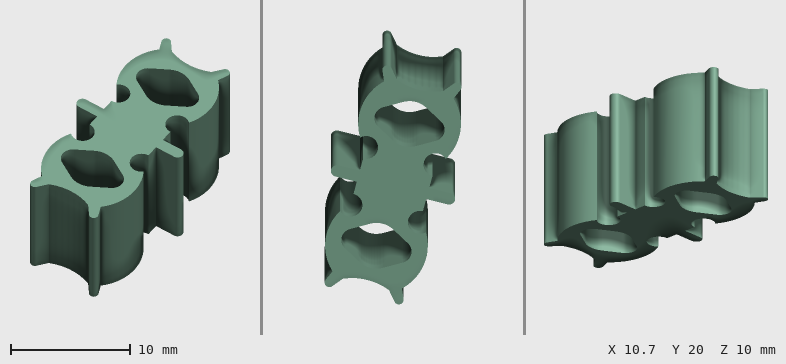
import cadquery as cq
import math

length = 20.0
tab_span = 10.7
height = 10.0

ring_radius = 4.3
ring_y = 5.5

waist_half = 3.0
tab_radius = 0.5

notch_radius = 1.0
notch_x = waist_half
notch_y = 2.6

horn_radius = 0.4
horn_x = waist_half
horn_y = length / 2 - horn_radius
hollow_radius = 5.0
hollow_floor_y = 8.58
hollow_half_width = 2.0

window_large_radius = 2.0
window_small_radius = 1.0
window_small_x = 2.0


def polar(center, radius, angle):
    """Point on a circle at an angle in radians."""
    return (center[0] + radius * math.cos(angle), center[1] + radius * math.sin(angle))


def direction(start, end):
    """Angle of the line from start to end, in radians."""
    return math.atan2(end[1] - start[1], end[0] - start[0])


def circle_crossing(center_a, radius_a, center_b, radius_b, side):
    """Point where two circles cross; side +1 is counter-clockwise from the line a to b."""
    distance = math.dist(center_a, center_b)
    cosine = (radius_a**2 + distance**2 - radius_b**2) / (2 * radius_a * distance)
    return polar(center_a, radius_a, direction(center_a, center_b) + side * math.acos(cosine))


def tangent_angle(point, center, radius, side):
    """Angle on the circle where a line from the outside point touches it."""
    return direction(center, point) + side * math.acos(radius / math.dist(point, center))


def quarter_body():
    """The +X, +Y quarter of the body, without the window."""
    ring_center = (0, ring_y)
    notch_center = (notch_x, notch_y)
    horn_center = (horn_x, horn_y)
    hollow_center_y = hollow_floor_y + hollow_radius

    tab_tip = (tab_span / 2, 0)
    tab_center = (tab_span / 2 - tab_radius, 0)
    tab_middle = polar(tab_center, tab_radius, math.radians(45))
    tab_shoulder = (tab_center[0], tab_radius)

    notch_start = (notch_x, notch_y - notch_radius)
    notch_middle = (notch_x - notch_radius, notch_y)
    ring_start = circle_crossing(notch_center, notch_radius, ring_center, ring_radius, -1)
    ring_middle = (ring_radius, ring_y)
    ring_end = (horn_x, ring_y + math.sqrt(ring_radius**2 - horn_x**2))

    hollow_edge_drop = math.sqrt(hollow_radius**2 - hollow_half_width**2)
    hollow_edge = (hollow_half_width, hollow_center_y - hollow_edge_drop)
    hollow_floor = (0, hollow_floor_y)
    hollow_middle_angle = (direction((0, hollow_center_y), hollow_edge) - math.pi / 2) / 2
    hollow_middle = polar((0, hollow_center_y), hollow_radius, hollow_middle_angle)

    outer_angle = tangent_angle(ring_end, horn_center, horn_radius, 1)
    inner_angle = tangent_angle(hollow_edge, horn_center, horn_radius, -1)
    horn_start = polar(horn_center, horn_radius, outer_angle)
    horn_top = (horn_x, length / 2)
    horn_end = polar(horn_center, horn_radius, inner_angle)

    return (
        cq.Workplane("XY")
        .lineTo(*tab_tip)
        .threePointArc(tab_middle, tab_shoulder)
        .lineTo(waist_half, tab_radius)
        .lineTo(*notch_start)
        .threePointArc(notch_middle, ring_start)
        .threePointArc(ring_middle, ring_end)
        .lineTo(*horn_start)
        .threePointArc(horn_top, horn_end)
        .lineTo(*hollow_edge)
        .threePointArc(hollow_middle, hollow_floor)
        .close()
        .extrude(height)
    )


def body():
    quarter = quarter_body()
    half = quarter.union(quarter.mirror("YZ"))
    return half.union(half.mirror("XZ")).clean()


def window(center_y):
    """Rounded diamond cutter through the full height."""
    rise = math.acos((window_large_radius - window_small_radius) / window_small_x)
    large_x, large_y = polar((0, 0), window_large_radius, rise)
    small_x, small_y = polar((window_small_x, 0), window_small_radius, rise)
    side_x = window_small_x + window_small_radius
    return (
        cq.Workplane("XY")
        .center(0, center_y)
        .moveTo(large_x, large_y)
        .threePointArc((0, window_large_radius), (-large_x, large_y))
        .lineTo(-small_x, small_y)
        .threePointArc((-side_x, 0), (-small_x, -small_y))
        .lineTo(-large_x, -large_y)
        .threePointArc((0, -window_large_radius), (large_x, -large_y))
        .lineTo(small_x, -small_y)
        .threePointArc((side_x, 0), (small_x, small_y))
        .close()
        .extrude(height)
    )


result = body()
for end in (1, -1):
    result = result.cut(window(end * ring_y))